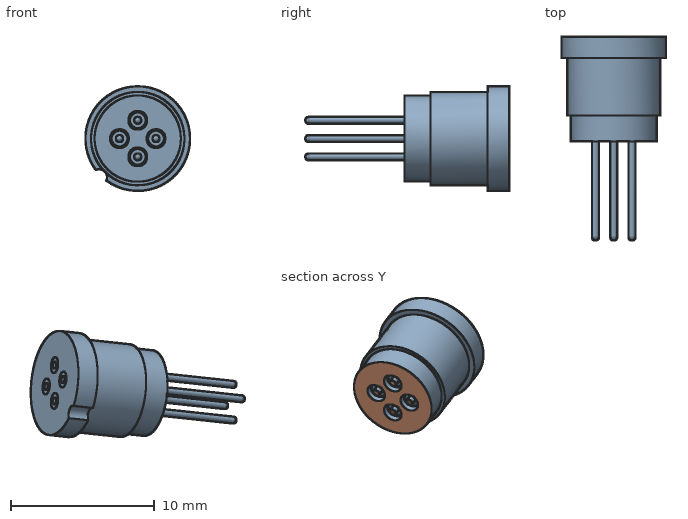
import cadquery as cq
import math

total_length = 14.2
back_y = total_length / 2

flange_diameter = 7.3
flange_length = 1.5
barrel_diameter = 6.5
barrel_length = 3.99
nose_diameter = 6.0
nose_length = 1.8

flange_front_y = back_y - flange_length
barrel_front_y = flange_front_y - barrel_length
nose_front_y = barrel_front_y - nose_length
housing_length = back_y - nose_front_y

notch_diameter = 1.1
notch_angle = 225.0
notch_center_radius = barrel_diameter / 2 + notch_diameter / 2

contact_count = 4
contact_circle_diameter = 2.54
bore_diameter = 1.3
bore_depth = 0.67
insert_diameter = 1.11
insert_length = housing_length - bore_depth
seat_y = nose_front_y + bore_depth
pin_diameter = 0.5


def cylinder_back_from(y, length, diameter, x=0.0, z=0.0):
    """Cylinder along Y that starts at y and runs back toward +Y."""
    section = cq.Workplane("XZ", origin=(0, y, 0)).center(x, z)
    return section.circle(diameter / 2).extrude(-length)


def polar_point(radius, angle):
    """X and Z of a point at the given radius and angle about the Y axis."""
    radians = math.radians(angle)
    return radius * math.cos(radians), radius * math.sin(radians)


def make_housing(contact_places):
    """Stepped body with a notched flange and a stepped through bore per contact."""
    body = cylinder_back_from(flange_front_y, flange_length, flange_diameter)

    notch_x, notch_z = polar_point(notch_center_radius, notch_angle)
    body = body.cut(cylinder_back_from(flange_front_y, flange_length, notch_diameter, notch_x, notch_z))

    body = body.union(cylinder_back_from(barrel_front_y, barrel_length, barrel_diameter))
    body = body.union(cylinder_back_from(nose_front_y, nose_length, nose_diameter))

    for x, z in contact_places:
        body = body.cut(cylinder_back_from(nose_front_y, bore_depth, bore_diameter, x, z))
        body = body.cut(cylinder_back_from(seat_y, insert_length, insert_diameter, x, z))
    return body


def make_insert(x, z):
    """Sleeve that fills the narrow part of a bore around its pin."""
    sleeve = cylinder_back_from(seat_y, insert_length, insert_diameter, x, z)
    return sleeve.cut(cylinder_back_from(seat_y, insert_length, pin_diameter, x, z))


def make_pin(x, z):
    """Round pin with a hemispherical tip, flush with the back of the housing."""
    radius = pin_diameter / 2
    tip_y = back_y - total_length
    tip_center_y = tip_y + radius
    arc_offset = radius * math.sqrt(0.5)
    half_profile = (
        cq.Workplane("XY", origin=(x, 0, z))
        .moveTo(0, tip_y)
        .threePointArc((arc_offset, tip_center_y - arc_offset), (radius, tip_center_y))
        .lineTo(radius, back_y)
        .lineTo(0, back_y)
        .close()
    )
    return half_profile.revolve(360, (0, 0, 0), (0, 1, 0))


contact_places = [
    polar_point(contact_circle_diameter / 2, 360.0 * index / contact_count)
    for index in range(contact_count)
]

housing = make_housing(contact_places)
inserts = [make_insert(x, z) for x, z in contact_places]
pins = [make_pin(x, z) for x, z in contact_places]

result = cq.Compound.makeCompound([
    housing.solids().val(),
    *[insert.solids().val() for insert in inserts],
    *[pin.solids().val() for pin in pins],
])